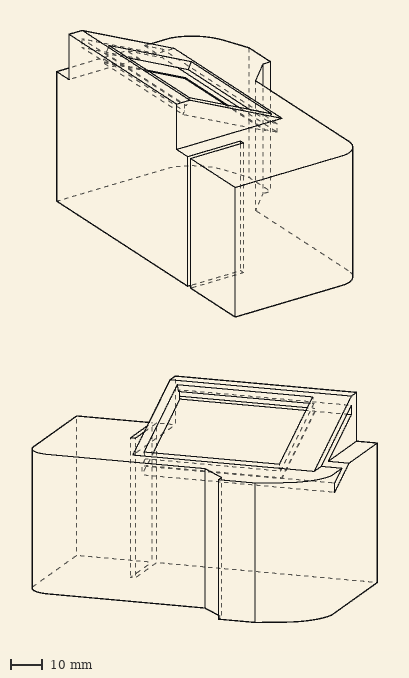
import cadquery as cq
import math

length = 100.0
depth = 59.5
body_height = 45.2
shelf_depth = 48.0
corner_radius = 7.5
grip_arc_start_y = 43.0
grip_arc_end = (11.0, 56.1)
grip_flat_x = (19.6, 31.7)
grip_step = 2.9
grip_base_x = grip_flat_x[1] + depth - grip_step - shelf_depth

total_height = 61.0
tower_x = (6.9, 67.2)
tower_flat = 5.0
face_end_y = 39.8
face_slope = (total_height - body_height) / (face_end_y - tower_flat)
face_cosine = math.cos(math.atan(face_slope))

card_cover = 3.0
card_gap = 3.0
card_y = (tower_flat, 40.0)

window_x = (19.1, 64.1)
window_y = (6.9, 38.0)
floor_recess = 0.3

slit_x = (73.4, 75.0)
slit_depth = 20.0


def face_z(y):
    """Height of the plane of the display face at a given y."""
    return total_height - face_slope * (y - tower_flat)


def extrude_along_x(points, x_start, x_end):
    """Extrude a Y-Z outline between two X positions."""
    plane = cq.Workplane("YZ", origin=(x_start, 0, 0))
    return plane.polyline(points).close().extrude(x_end - x_start)


def make_body():
    return (
        cq.Workplane("XY")
        .moveTo(0, 0)
        .lineTo(length, 0)
        .lineTo(length, shelf_depth - corner_radius)
        .tangentArcPoint((length - corner_radius, shelf_depth), relative=False)
        .lineTo(grip_base_x, shelf_depth)
        .lineTo(grip_flat_x[1], depth - grip_step)
        .lineTo(grip_flat_x[1], depth)
        .lineTo(grip_flat_x[0], depth)
        .lineTo(*grip_arc_end)
        .tangentArcPoint((0, grip_arc_start_y), relative=False)
        .close()
        .extrude(body_height)
    )


def make_tower():
    outline = [
        (0, 0),
        (face_end_y, 0),
        (face_end_y, body_height),
        (tower_flat, total_height),
        (0, total_height),
    ]
    return extrude_along_x(outline, *tower_x)


def make_card_slot():
    front, back = card_y
    outline = [
        (front, face_z(front) - card_cover),
        (back, face_z(back) - card_cover),
        (back, face_z(back) - card_cover - card_gap),
        (front, face_z(front) - card_cover - card_gap),
    ]
    return extrude_along_x(outline, 0, window_x[1])


def make_window():
    center_y = sum(window_y) / 2
    face_length = (window_y[1] - window_y[0]) / face_cosine
    window_depth = (card_cover + card_gap) * face_cosine + floor_recess
    face = cq.Plane(
        origin=(sum(window_x) / 2, center_y, face_z(center_y)),
        xDir=(1, 0, 0),
        normal=(0, face_slope, 1),
    )
    return cq.Workplane(face).rect(window_x[1] - window_x[0], face_length).extrude(-window_depth)


def make_slit():
    slit = cq.Workplane("XY").box(slit_x[1] - slit_x[0], slit_depth, body_height, centered=False)
    return slit.translate((slit_x[0], 0, 0))


result = make_body().union(make_tower())
result = result.cut(make_card_slot()).cut(make_window()).cut(make_slit())